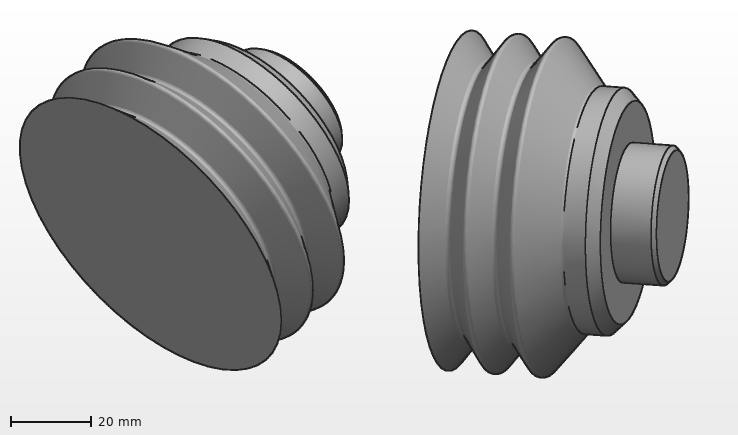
import cadquery as cq
import math

lip_radius = 42.5
total_length = 54.5

boss_radius = 35.0 / 2
boss_chamfer = 1.1
collar_radius = 62.0 / 2
collar_end = 43.0
collar_chamfer = 3.1
neck_position = 33.8

crest_positions = (12.0, 24.0)
front_valley_position = 5.8
rear_valley_position = 17.85
front_valley_radius = 35.4
rear_valley_radius = 35.9
fold_rounding = 0.85
flank_angle = math.radians(39)

corner_overshoot = fold_rounding / math.sin(flank_angle) - fold_rounding
sharp_crest_radius = lip_radius + corner_overshoot
sharp_front_valley_radius = front_valley_radius - corner_overshoot
sharp_rear_valley_radius = rear_valley_radius - corner_overshoot

fold_corners = [
    (sharp_front_valley_radius, front_valley_position),
    (sharp_crest_radius, crest_positions[0]),
    (sharp_rear_valley_radius, rear_valley_position),
    (sharp_crest_radius, crest_positions[1]),
    (collar_radius, neck_position),
]

profile = [
    (0, 0),
    (lip_radius, 0),
    *fold_corners,
    (collar_radius, collar_end - collar_chamfer),
    (collar_radius - collar_chamfer, collar_end),
    (boss_radius, collar_end),
    (boss_radius, total_length - boss_chamfer),
    (boss_radius - boss_chamfer, total_length),
    (0, total_length),
]
body = cq.Workplane("XY").polyline(profile).close().revolve(360, (0, 0, 0), (0, 1, 0))


def round_fold(solid, radius, position):
    """Round the circular edge of one fold corner."""
    tolerance = 0.1
    reach = radius + tolerance
    corner_box = cq.selectors.BoxSelector(
        (-reach, position - tolerance, -reach),
        (reach, position + tolerance, reach),
        boundingbox=True,
    )
    return solid.edges("%CIRCLE").edges(corner_box).fillet(fold_rounding)


for corner_radius, corner_position in fold_corners:
    body = round_fold(body, corner_radius, corner_position)

result = body